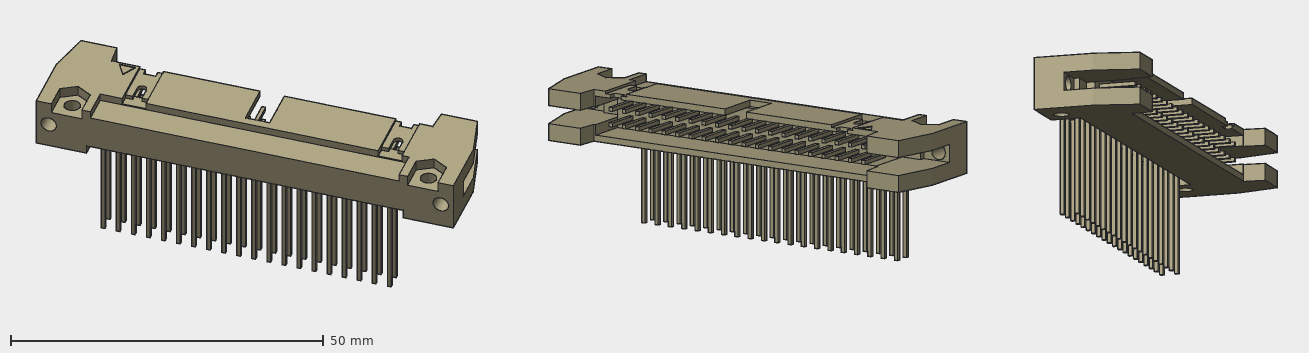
import cadquery as cq


columns = 20
rows = 2
column_span = 48.3
pitch = column_span / (columns - 1)

length = 70.4
body_height = 8.5
body_depth = 13.8
half_length = length / 2
mid_height = body_height / 2

arm_reach = 17.3
arm_taper_start = 10.1
arm_tip_inset = 1.75
arm_tip_inner = 7.8
arm_root_inner = 8.1

wall = 1.05
cavity_floor = 7.4
cavity_length = 53.5

latch_gap = 2.95
latch_floor_outer = 5.1
latch_floor_inner = 6.0
latch_step_x = 4.9

ledge_length = 52.1
ledge_depth = 4.9
ledge_drop = 1.3
relief_length = 53.4
relief_height = 1.5

hole_diameter = 2.6
rear_hole_inset = 2.1
nut_hole_inset = 5.15
nut_hole_y = 2.8
nut_width = 5.15
nut_side_depth = 4.2
nut_apex_depth = 5.7
nut_pocket_drop = 1.75

left_strip_x = -8 * pitch
right_strip_x = 9 * pitch
strip_width = 4.0
strip_drop = 0.4
strip_step_y = 6.55
slot_width = 1.55
slot_end = 9.65
lip_width = 2.05
lip_depth = 1.05

key_width = 4.1
key_floor = 6.4

mark_x = -24.3
mark_width = 2.7
mark_base_y = 13.4
mark_apex_y = 11.05
mark_drop = 0.15

pin_width = 0.6
contact_tip_y = 13.4
overall_height = 23.5
tail_bottom = body_height - overall_height
first_tail_y = 1.0


def block(x_range, y_range, z_range):
    """Axis-aligned box given by its limits along each axis."""
    (x0, x1), (y0, y1), (z0, z1) = x_range, y_range, z_range
    return cq.Workplane("XY").box(x1 - x0, y1 - y0, z1 - z0, centered=False).translate((x0, y0, z0))


def centred(middle, width):
    """Limits of a span of the given width about its middle."""
    return (middle - width / 2, middle + width / 2)


def from_top(drop):
    """Height limits of a cut sunk from the top face."""
    return (body_height - drop, body_height)


def both_ends(shape):
    """The shape together with its mirror image at the other end."""
    return shape.union(shape.mirror("YZ"))


def make_body():
    right_side = [
        (half_length, 0),
        (half_length, arm_taper_start),
        (half_length - arm_tip_inset, arm_reach),
        (half_length - arm_tip_inner, arm_reach),
        (half_length - arm_root_inner, body_depth),
    ]
    left_side = [(-x, y) for x, y in reversed(right_side)]
    return cq.Workplane("XY").polyline(right_side + left_side).close().extrude(body_height)


def make_cavity():
    return block(
        centred(0, cavity_length), (cavity_floor, body_depth), (wall, body_height - wall)
    )


def make_latch_gap():
    gap_z = centred(mid_height, latch_gap)
    step_x = half_length - latch_step_x
    outer = block((step_x, half_length), (latch_floor_outer, arm_reach), gap_z)
    inner = block((cavity_length / 2, step_x), (latch_floor_inner, arm_reach), gap_z)
    return outer.union(inner)


def make_rear_steps():
    ledge = block(centred(0, ledge_length), (0, ledge_depth), from_top(ledge_drop))
    relief = block(centred(0, relief_length), (0, ledge_depth), (0, relief_height))
    return ledge.union(relief)


def make_mounting():
    """Rear hole, vertical hole and nut pocket of the +X end."""
    rear_hole = (
        cq.Workplane("XZ", origin=(half_length - rear_hole_inset, 0, mid_height))
        .circle(hole_diameter / 2)
        .extrude(-latch_floor_outer)
    )
    nut_x = half_length - nut_hole_inset
    nut_hole = (
        cq.Workplane("XY").center(nut_x, nut_hole_y).circle(hole_diameter / 2).extrude(body_height)
    )
    left, right = centred(nut_x, nut_width)
    pocket = (
        cq.Workplane("XY", origin=(0, 0, body_height))
        .polyline(
            [(left, 0), (right, 0), (right, nut_side_depth), (nut_x, nut_apex_depth), (left, nut_side_depth)]
        )
        .close()
        .extrude(-nut_pocket_drop)
    )
    return rear_hole.union(nut_hole).union(pocket)


def make_window_strip(strip_x):
    """Sunken strip with its rear step, round-ended slot and notch at the mouth."""
    strip_span = centred(strip_x, strip_width)
    strip = block(strip_span, (ledge_depth, body_depth), from_top(strip_drop))
    rear_step = block(strip_span, (ledge_depth, strip_step_y), from_top(wall))
    slot_radius = slot_width / 2
    slot_centre_y = slot_end - slot_radius
    slot = block(centred(strip_x, slot_width), (strip_step_y, slot_centre_y), from_top(wall))
    slot_round = (
        cq.Workplane("XY", origin=(strip_x, slot_centre_y, body_height))
        .circle(slot_radius)
        .extrude(-wall)
    )
    lip = block(centred(strip_x, lip_width), (body_depth - lip_depth, body_depth), from_top(wall))
    return strip.union(rear_step).union(slot).union(slot_round).union(lip)


def make_key_notch():
    return block(centred(0, key_width), (key_floor, body_depth), from_top(wall))


def make_pin_mark():
    left, right = centred(mark_x, mark_width)
    return (
        cq.Workplane("XY", origin=(0, 0, body_height))
        .polyline([(left, mark_base_y), (right, mark_base_y), (mark_x, mark_apex_y)])
        .close()
        .extrude(-mark_drop)
    )


def make_contacts():
    """Two rows of pins standing in the cavity and pointing to the mouth."""
    return (
        cq.Workplane("XZ", origin=(0, cavity_floor, mid_height))
        .rarray(pitch, pitch, columns, rows)
        .rect(pin_width, pin_width)
        .extrude(cavity_floor - contact_tip_y)
    )


def make_tails():
    """Two rows of solder tails hanging from the relief under the body."""
    return (
        cq.Workplane("XY", origin=(0, first_tail_y + pitch / 2, relief_height))
        .rarray(pitch, pitch, columns, rows)
        .rect(pin_width, pin_width)
        .extrude(tail_bottom - relief_height)
    )


housing = (
    make_body()
    .cut(make_cavity())
    .cut(both_ends(make_latch_gap()))
    .cut(make_rear_steps())
    .cut(both_ends(make_mounting()))
    .cut(make_window_strip(left_strip_x))
    .cut(make_window_strip(right_strip_x))
    .cut(make_key_notch())
    .cut(make_pin_mark())
)

result = housing.union(make_contacts()).union(make_tails())